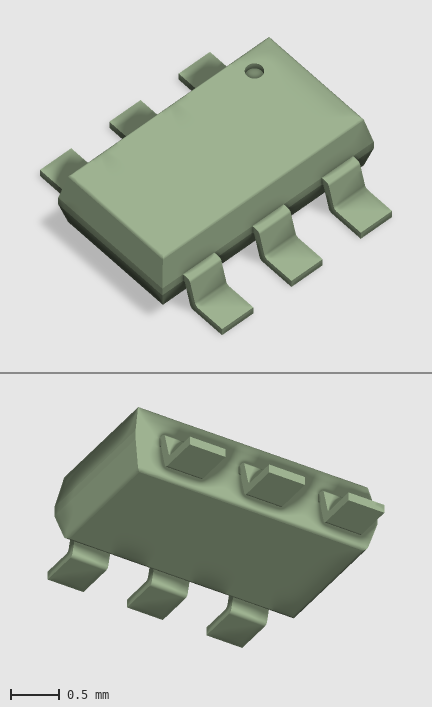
import cadquery as cq
import math


body_width = 1.6
body_length = 2.9
body_bottom = 0.02
body_top = 0.82
belt_top = 0.438
belt_height = 0.11
belt_bottom = belt_top - belt_height
face_inset = 0.078
body_fillet = 0.044

lead_pitch = 0.95
leads_per_side = 3
lead_width = 0.43
lead_thickness = 0.1
lead_span = 2.8
foot_length = 0.405
leg_tilt = 15.5
bend_radius = 0.05

mark_diameter = 0.2
mark_depth = 0.08
mark_x = -0.475
mark_y = lead_pitch


def tapered_half(belt_z, face_z):
    """One half of the housing, narrowing from the belt to a face with a rounded rim."""
    face_offset = face_z - belt_z
    half = (
        cq.Workplane("XY", origin=(0, 0, belt_z))
        .rect(body_width, body_length)
        .workplane(offset=face_offset)
        .rect(body_width - 2 * face_inset, body_length - 2 * face_inset)
        .loft(ruled=True)
    )
    face_side = ">Z" if face_offset > 0 else "<Z"
    return half.faces(face_side).edges().fillet(body_fillet)


def make_housing():
    """Belt with a tapered half above and below it, and a round pin 1 recess in the top."""
    belt = (
        cq.Workplane("XY", origin=(0, 0, belt_bottom))
        .rect(body_width, body_length)
        .extrude(belt_height)
    )
    mark = (
        cq.Workplane("XY", origin=(mark_x, mark_y, body_top - mark_depth))
        .circle(mark_diameter / 2)
        .extrude(mark_depth)
    )
    upper_half = tapered_half(belt_top, body_top)
    lower_half = tapered_half(belt_bottom, body_bottom)
    return belt.union(upper_half).union(lower_half).cut(mark)


def make_lead(y_center):
    """One lead on the +X side, running from the housing's belt down and out to its foot."""
    body_face = body_width / 2
    toe = lead_span / 2
    arm_top = belt_top
    arm_bottom = arm_top - lead_thickness

    leg_slope = math.tan(math.radians(leg_tilt))
    corner_shift = lead_thickness * math.tan(math.radians(90 - leg_tilt) / 2)
    foot_upper_corner = toe - foot_length
    foot_lower_corner = foot_upper_corner - corner_shift
    arm_upper_corner = foot_upper_corner - (arm_top - lead_thickness) * leg_slope
    arm_lower_corner = arm_upper_corner - corner_shift

    profile = [
        (body_face, arm_top),
        (arm_upper_corner, arm_top),
        (foot_upper_corner, lead_thickness),
        (toe, lead_thickness),
        (toe, 0),
        (foot_lower_corner, 0),
        (arm_lower_corner, arm_bottom),
        (body_face, arm_bottom),
    ]
    rounded_corners = [
        (arm_upper_corner, arm_top),
        (foot_upper_corner, lead_thickness),
        (foot_lower_corner, 0),
    ]

    lead = (
        cq.Workplane("XZ", origin=(0, y_center, 0))
        .polyline(profile)
        .close()
        .extrude(lead_width / 2, both=True)
    )
    for x, z in rounded_corners:
        corner = cq.selectors.NearestToPointSelector((x, y_center, z))
        lead = lead.edges("|Y").edges(corner).fillet(bend_radius)
    return lead


housing = make_housing()

leads = []
for row in range(leads_per_side):
    row_y = (row - (leads_per_side - 1) / 2) * lead_pitch
    right_lead = make_lead(row_y)
    left_lead = right_lead.mirror("YZ")
    leads += [right_lead.val(), left_lead.val()]

result = cq.Compound.makeCompound([housing.val(), *leads])